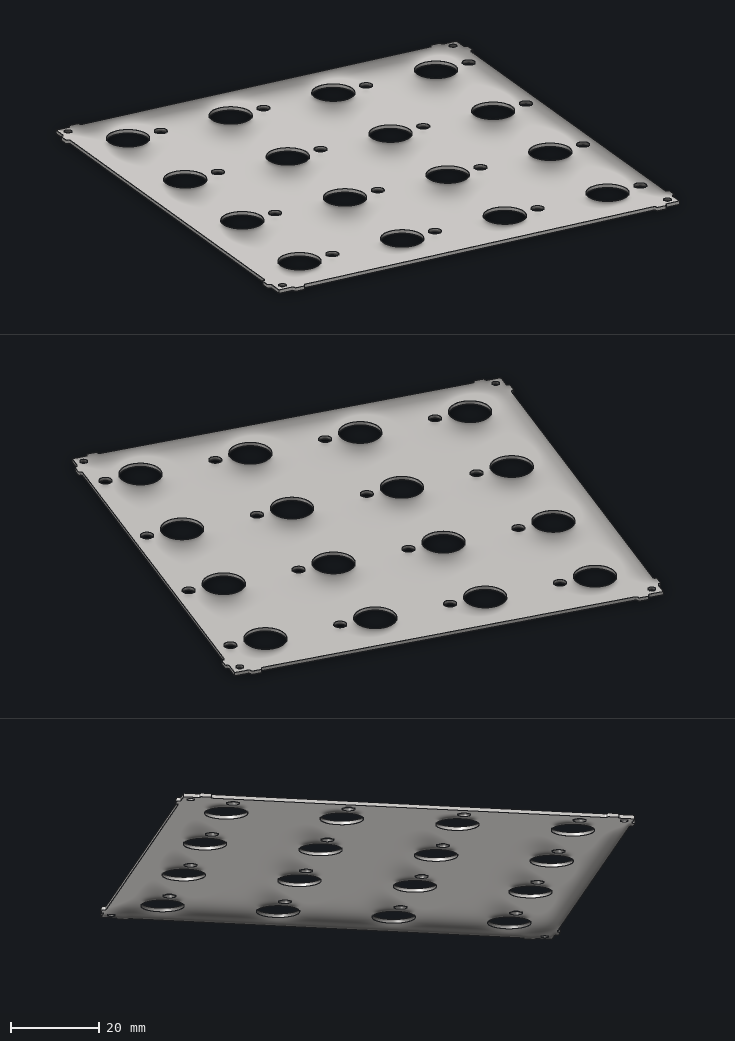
import cadquery as cq
import math

plate_side = 104.0
plate_thickness = 0.91
overall_side = 105.6

tab_center = 46.93
tab_width = 2.6
tab_height = (overall_side - plate_side) / 2
tab_tip_radius = 0.3
tab_root_radius = tab_height - tab_tip_radius
tab_overlap = 1.0

grid_count = 4
grid_pitch = 26.64
window_diameter = 9.8
small_hole_diameter = 2.95
small_hole_offset = 8.5

corner_hole_diameter = 1.75
corner_hole_spacing = 99.9


def make_plate():
    return cq.Workplane("XY").box(plate_side, plate_side, plate_thickness)


def make_tab():
    """Tab on the +Y edge near the +X corner: concave root fillets running into a rounded tip."""
    edge = plate_side / 2
    tip = edge + tab_height
    shoulder = edge + tab_root_radius
    left = tab_center - tab_width / 2
    right = tab_center + tab_width / 2
    left_root = left - tab_root_radius
    right_root = right + tab_root_radius
    root_reach = tab_root_radius * math.sqrt(0.5)
    tip_inset = tab_tip_radius * (1 - math.sqrt(0.5))
    return (
        cq.Workplane("XY")
        .workplane(offset=-plate_thickness / 2)
        .moveTo(left_root, edge - tab_overlap)
        .lineTo(left_root, edge)
        .threePointArc((left_root + root_reach, shoulder - root_reach), (left, shoulder))
        .threePointArc((left + tip_inset, tip - tip_inset), (left + tab_tip_radius, tip))
        .lineTo(right - tab_tip_radius, tip)
        .threePointArc((right - tip_inset, tip - tip_inset), (right, shoulder))
        .threePointArc((right_root - root_reach, shoulder - root_reach), (right_root, edge))
        .lineTo(right_root, edge - tab_overlap)
        .close()
        .extrude(plate_thickness)
    )


def add_tabs(body):
    """Add the tab and its mirror image to all four edges."""
    tab = make_tab()
    for edge_tab in (tab, tab.mirror("YZ")):
        for quarter_turn in range(4):
            body = body.union(edge_tab.rotate((0, 0, 0), (0, 0, 1), 90 * quarter_turn))
    return body


def square_grid(count, pitch):
    """Centers of a square grid about the plate center."""
    stations = [(i - (count - 1) / 2) * pitch for i in range(count)]
    return [(x, y) for x in stations for y in stations]


def drill(body, centers, diameter):
    """Cut round through holes at the given centers."""
    cutter = (
        cq.Workplane("XY")
        .workplane(offset=-plate_thickness)
        .pushPoints(centers)
        .circle(diameter / 2)
        .extrude(2 * plate_thickness)
    )
    return body.cut(cutter)


window_centers = square_grid(grid_count, grid_pitch)
small_hole_centers = [(x, y + small_hole_offset) for x, y in window_centers]
corner_hole_centers = square_grid(2, corner_hole_spacing)

result = add_tabs(make_plate())
result = drill(result, window_centers, window_diameter)
result = drill(result, small_hole_centers, small_hole_diameter)
result = drill(result, corner_hole_centers, corner_hole_diameter)